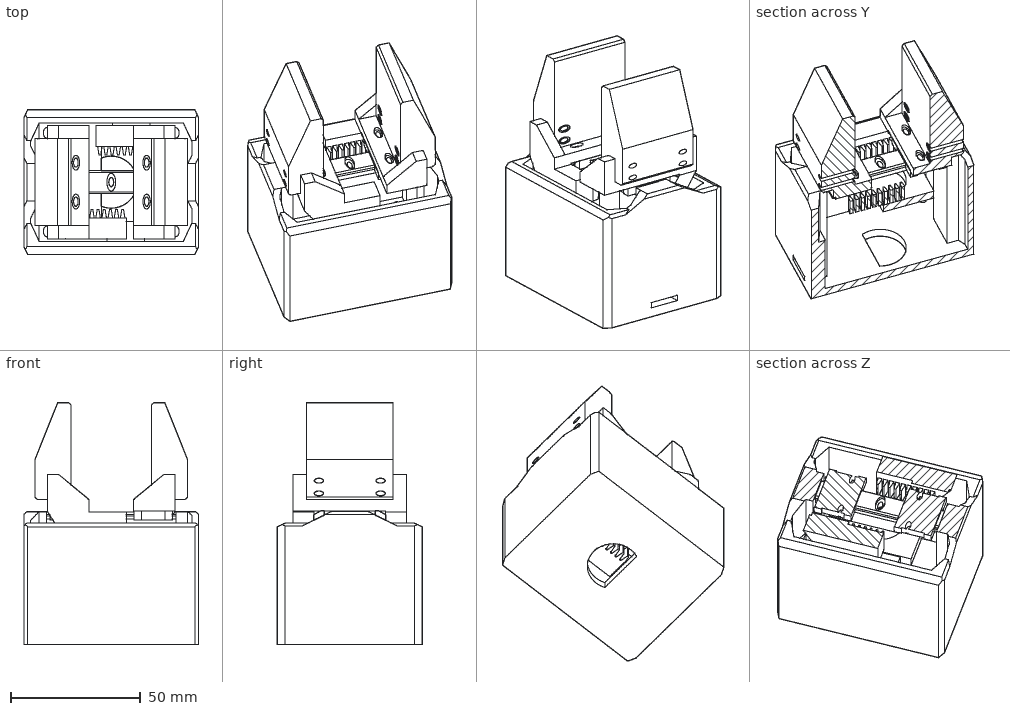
import cadquery as cq

length_x = 67.5
width_y = 56.0
wall_top = 47.0
plateau_top = 51.4
plateau_half_y = 7.2
ramp_foot_y = 16.0
corner_cut_x = 1.5
corner_cut_y = 3.1
long_top_drop = 1.5
end_chamfer = 1.2

cavity_half_x = 27.8
cavity_half_y = 22.9
throat_half_x = 24.9
pocket_half_x = 31.1
pocket_slant_y = {-1: 14.0, 1: 10.2}
pocket_inner_x = {-1: cavity_half_x, 1: 29.5}
pocket_outer_y = 15.8
floor_z = 3.8
pocket_floor_z = {-1: 30.0, 1: floor_z}
bore_diameter = 20.0

bridge_top = 40.5
bridge_thickness = 4.0
bridge_start_x = -3.85
bridge_middle_x = 6.65
bridge_half_y = 15.1
bridge_sink = 0.5
tab_length = 14.35
tab_offset = 1.05

dimple_x = 24.7
dimple_y = 19.0
dimple_size_x = 3.0
dimple_size_y = 4.2
dimple_depth = 1.0

cable_slot_y = 12.4
cable_slot_height = 2.2

rail_top = 50.3
rail_bottom = 46.0
rail_top_half_y = 3.8
rail_half_y = 4.4
rail_lip = (48.6, 49.6)
rail_clearance = 0.2

screw_short = 1.75
screw_long = 2 * screw_short
rail_head_short = 3.4
plate_head_short = 2.85
finger_head_short = 2.6
head_depth = 1.2
finger_head_depth = 0.4

overall_height = 93.45
jaw_back_x = -24.6
jaw_front_x = -8.5
jaw_half_y = 21.9
plate_bottom = 51.7
plate_top = 56.0
cheek_top = 65.7
cheek_top_end_x = -20.3

finger_half_y = 16.75
finger_back_x = -29.5
finger_front_x = -15.5
finger_slope_z = 71.4
finger_tip_x = -20.7
finger_chamfer = 0.95
finger_hole_y = 11.9
finger_hole_z = (58.4, 63.3)

plate_hole_x = -13.65
plate_hole_y = 7.5

rack_inner_y = 13.8
rack_top = 51.3
rack_bottom = bridge_top
rack_end_x = 5.8
rack_back_slope = 0.65

tooth_count = 10
tooth_pitch = 2.37
first_tooth_x = 4.4
tooth_root = 1.75
tooth_tip = 0.65
tooth_height = 3.3
tooth_top = 47.5

gusset_y = 2.8
gusset_z = 1.5
guide_back_x = -23.6
guide_front_x = -8.7
guide_half_y = 9.9
guide_bottom = 48.1
guide_recess_margin = 2.9
guide_recess_depth = 0.5


def box(x_range, y_range, z_range):
    """Box between the given limits."""
    (x0, x1), (y0, y1), (z0, z1) = x_range, y_range, z_range
    return cq.Workplane("XY").box(x1 - x0, y1 - y0, z1 - z0, centered=False).translate((x0, y0, z0))


def slab_y(points, y0, y1):
    """Outline of (x, z) points carried from y0 to y1."""
    return cq.Workplane("XZ", origin=(0, y0, 0)).polyline(points).close().extrude(y0 - y1)


def slab_x(points, x0, x1):
    """Outline of (y, z) points carried from x0 to x1."""
    return cq.Workplane("YZ", origin=(x0, 0, 0)).polyline(points).close().extrude(x1 - x0)


def slab_z(points, z0, z1):
    """Outline of (x, y) points carried from z0 to z1."""
    return cq.Workplane("XY", origin=(0, 0, z0)).polyline(points).close().extrude(z1 - z0)


def ellipse_z(x, y, size_x, size_y, z0, z1):
    """Vertical elliptical hole."""
    return cq.Workplane("XY", origin=(x, y, z0)).ellipse(size_x / 2, size_y / 2).extrude(z1 - z0)


def ellipse_x(y, z, size_y, size_z, x0, x1):
    """Elliptical hole along X."""
    return cq.Workplane("YZ", origin=(x0, y, z)).ellipse(size_y / 2, size_z / 2).extrude(x1 - x0)


def housing_shell():
    """Outer block with raised end plateaus and chamfered edges."""
    half_x, half_y = length_x / 2, width_y / 2
    shell = box((-half_x, half_x), (-half_y, half_y), (0, wall_top))
    shell = shell.faces(">Z").edges("|Y").chamfer(end_chamfer)
    for side in (-1, 1):
        wedge = [
            (side * half_y, wall_top - long_top_drop),
            (side * half_y, wall_top),
            (side * (half_y - corner_cut_y), wall_top),
        ]
        shell = shell.cut(slab_x(wedge, -half_x, half_x))
    plan = cq.Workplane("XY")
    plan = plan.polyline(
        [
            (half_x - corner_cut_x, half_y),
            (half_x, half_y - corner_cut_y),
            (half_x, -half_y + corner_cut_y),
            (half_x - corner_cut_x, -half_y),
            (-half_x + corner_cut_x, -half_y),
            (-half_x, -half_y + corner_cut_y),
            (-half_x, half_y - corner_cut_y),
            (-half_x + corner_cut_x, half_y),
        ]
    ).close().extrude(plateau_top)
    return shell.intersect(plan).union(end_hump())


def end_hump():
    """Raised middle of the end walls; its ramps run on down through the end chamfers."""
    root_z = wall_top - 2 * end_chamfer
    run_per_drop = (ramp_foot_y - plateau_half_y) / (plateau_top - wall_top)
    root_half_y = plateau_half_y + run_per_drop * (plateau_top - root_z)
    outline = [
        (-root_half_y, root_z),
        (-plateau_half_y, plateau_top),
        (plateau_half_y, plateau_top),
        (root_half_y, root_z),
    ]
    hump = slab_x(outline, -length_x / 2, length_x / 2)
    wedge = [
        (length_x / 2, plateau_top - end_chamfer),
        (length_x / 2, plateau_top),
        (length_x / 2 - end_chamfer, plateau_top),
    ]
    for side_x in (-1, 1):
        hump = hump.cut(slab_y([(side_x * x, z) for x, z in wedge], -root_half_y, root_half_y))
    return hump


def corner_pocket(side_x, side_y):
    """Pocket that widens one corner of the cavity."""
    outline = [
        (side_x * throat_half_x, side_y * plateau_half_y),
        (side_x * pocket_inner_x[side_x], side_y * plateau_half_y),
        (side_x * pocket_half_x, side_y * pocket_slant_y[side_x]),
        (side_x * pocket_half_x, side_y * pocket_outer_y),
        (side_x * cavity_half_x, side_y * cavity_half_y),
    ]
    return slab_z(outline, pocket_floor_z[side_x], plateau_top)


def make_bridge():
    """Plate across the cavity with a staggered tab to each side wall."""
    bottom = bridge_top - bridge_thickness
    half_length = bridge_middle_x - bridge_start_x
    bridge = box(
        (bridge_start_x, bridge_middle_x + half_length),
        (-bridge_half_y, bridge_half_y),
        (bottom, bridge_top),
    )
    for side_y in (-1, 1):
        start_x = bridge_middle_x + side_y * tab_offset - tab_length / 2
        y_range = sorted((side_y * bridge_half_y, side_y * cavity_half_y))
        tab = box((start_x, start_x + tab_length), y_range, (bottom, bridge_top - bridge_sink))
        bridge = bridge.union(tab)
    return bridge


def make_rail():
    """Guide rail that spans the cavity between the plateaus."""
    side = [
        (rail_top_half_y, rail_bottom),
        (rail_top_half_y, rail_lip[0]),
        (rail_half_y, rail_lip[0]),
        (rail_half_y, rail_lip[1]),
        (rail_top_half_y, rail_top),
    ]
    other_side = [(-y, z) for y, z in reversed(side)]
    rail = slab_x(side + other_side, -throat_half_x, throat_half_x)
    rail = rail.cut(ellipse_z(0, 0, screw_short, screw_long, rail_bottom, rail_top))
    head = ellipse_z(0, 0, rail_head_short, 2 * rail_head_short, rail_top - head_depth, rail_top)
    return rail.cut(head)


def make_housing():
    body = housing_shell()

    throat = (-throat_half_x, throat_half_x)
    body = body.cut(box(throat, (-cavity_half_y, cavity_half_y), (floor_z, plateau_top)))
    for side_y in (-1, 1):
        y_range = sorted((side_y * plateau_half_y, side_y * cavity_half_y))
        body = body.cut(box((-cavity_half_x, cavity_half_x), y_range, (floor_z, plateau_top)))
        for side_x in (-1, 1):
            body = body.cut(corner_pocket(side_x, side_y))
            x, y = side_x * dimple_x, side_y * dimple_y
            body = body.cut(ellipse_z(x, y, dimple_size_x, dimple_size_y, floor_z - dimple_depth, floor_z))

    body = body.union(make_bridge())
    radius = bore_diameter / 2
    bore = cq.Workplane("XY").circle(radius).extrude(bridge_top)
    bore = bore.intersect(box((bridge_start_x, radius), (-radius, radius), (0, bridge_top)))
    slot = box(
        (-length_x / 2, -cavity_half_x),
        (-cable_slot_y / 2, cable_slot_y / 2),
        (floor_z, floor_z + cable_slot_height),
    )
    return body.cut(bore).cut(slot).union(make_rail())


def jaw_bracket():
    """Base plate with a sloped cheek at each end."""
    bracket = box((jaw_back_x, jaw_front_x), (-jaw_half_y, jaw_half_y), (plate_bottom, plate_top))
    cheek = [
        (jaw_back_x, plate_bottom),
        (jaw_front_x, plate_bottom),
        (jaw_front_x, plate_top),
        (cheek_top_end_x, cheek_top),
        (jaw_back_x, cheek_top),
    ]
    bracket = bracket.union(slab_y(cheek, finger_half_y, jaw_half_y))
    return bracket.union(slab_y(cheek, -jaw_half_y, -finger_half_y))


def jaw_finger():
    """Upright finger with a sloped back and four screw holes."""
    outline = [
        (finger_back_x + finger_chamfer, plate_top),
        (finger_front_x, plate_top),
        (finger_front_x, overall_height - finger_chamfer),
        (finger_front_x - finger_chamfer, overall_height),
        (finger_tip_x, overall_height),
        (finger_back_x, finger_slope_z),
        (finger_back_x, plate_top + finger_chamfer),
    ]
    return slab_y(outline, -finger_half_y, finger_half_y)


def jaw_rack():
    """Toothed bar on the -Y side with an undercut back end."""
    cut_run = rack_back_slope * (rack_top - rack_bottom)
    outline = [
        (jaw_back_x + cut_run, rack_bottom),
        (rack_end_x, rack_bottom),
        (rack_end_x, rack_top),
        (jaw_front_x, rack_top),
        (jaw_front_x, plate_bottom),
        (jaw_back_x, plate_bottom),
        (jaw_back_x, rack_top),
    ]
    rack = slab_y(outline, -jaw_half_y, -rack_inner_y)
    for index in range(tooth_count):
        x = first_tooth_x - index * tooth_pitch
        tip_y = -rack_inner_y + tooth_height
        tooth = [
            (x - tooth_root / 2, -rack_inner_y),
            (x + tooth_root / 2, -rack_inner_y),
            (x + tooth_tip / 2, tip_y),
            (x - tooth_tip / 2, tip_y),
        ]
        rack = rack.union(slab_z(tooth, rack_bottom, tooth_top))
    gusset = [
        (-rack_inner_y, plate_bottom),
        (-rack_inner_y + gusset_y, plate_bottom),
        (-rack_inner_y, plate_bottom - gusset_z),
    ]
    return rack.union(slab_x(gusset, guide_back_x, guide_front_x))


def jaw_guide():
    """Block under the plate with a channel for the rail."""
    x_range = (guide_back_x, guide_front_x)
    recess_x = (guide_back_x + guide_recess_margin, guide_front_x - guide_recess_margin)
    guide = box(x_range, (-guide_half_y, guide_half_y), (guide_bottom, plate_bottom))
    for side_y in (-1, 1):
        y_range = sorted((side_y * (guide_half_y - guide_recess_depth), side_y * guide_half_y))
        guide = guide.cut(box(recess_x, y_range, (guide_bottom, plate_bottom)))
    half_channel = rail_half_y + rail_clearance
    channel = box(
        x_range,
        (-half_channel, half_channel),
        (guide_bottom, rail_top + rail_clearance),
    )
    return guide.cut(channel)


def make_jaw():
    """Jaw at the -X side."""
    jaw = jaw_bracket().union(jaw_finger()).union(jaw_rack()).union(jaw_guide())
    for y in (-plate_hole_y, plate_hole_y):
        jaw = jaw.cut(ellipse_z(plate_hole_x, y, screw_short, screw_long, guide_bottom, plate_top))
        head_z = plate_top - head_depth
        jaw = jaw.cut(ellipse_z(plate_hole_x, y, plate_head_short, 2 * plate_head_short, head_z, plate_top))
    for y in (-finger_hole_y, finger_hole_y):
        for z in finger_hole_z:
            jaw = jaw.cut(ellipse_x(y, z, screw_long, screw_short, finger_back_x, finger_front_x))
            head_x = finger_front_x - finger_head_depth
            jaw = jaw.cut(ellipse_x(y, z, 2 * finger_head_short, finger_head_short, head_x, finger_front_x))
    return jaw


housing = make_housing()
jaws = [make_jaw().rotate((0, 0, 0), (0, 0, 1), turn) for turn in (0, 180)]
result = cq.Compound.makeCompound([housing.solids().val(), *[jaw.solids().val() for jaw in jaws]])